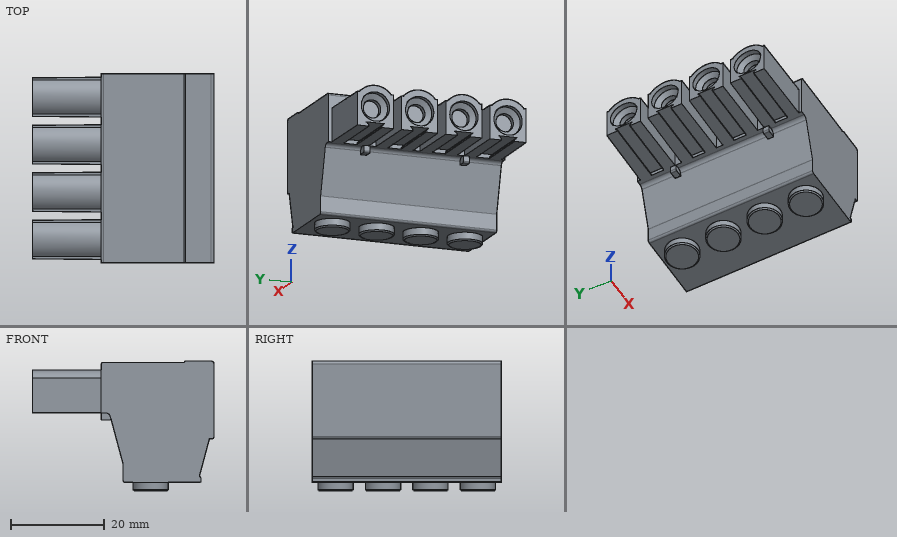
import cadquery as cq
import math

POLE_COUNT = 4
POLE_PITCH = 10.16
END_WIDTH = 10.0
BODY_WIDTH = (POLE_COUNT - 1) * POLE_PITCH + END_WIDTH
POLE_CENTRES = [(i - (POLE_COUNT - 1) / 2) * POLE_PITCH for i in range(POLE_COUNT)]

BODY_LENGTH = 24.2
TOP_Z = 25.7
RAISED_TOP_Z = 26.0
RAISED_START_X = 18.05
RAISED_RAMP = 0.3
OVERHANG_Z = 14.85
BASE_FRONT_X = 4.67
BASE_BACK_X = 21.4
FRONT_SLOPE_START_Z = 4.0
SLOPE_ANGLE = 15.0
SLOPE_RUN = math.tan(math.radians(SLOPE_ANGLE))
FRONT_EDGE_RADIUS = 0.5
OVERHANG_RADIUS = 1.0
BACK_TOP_RADIUS = 0.7
BACK_LIP_Z = 9.3
BACK_LIP_RADIUS = 0.55
BACK_SLOPE_TOP_X = 23.2
BEAD_TOP_Z = 0.95
BEAD_CORNER = 0.2
GROOVE_Z = 1.3

TUBE_LENGTH = 14.7
TUBE_TIP_WIDTH = 8.3
TUBE_DRAFT_ANGLE = 0.5
TUBE_ROOT_WIDTH = TUBE_TIP_WIDTH + 2 * TUBE_LENGTH * math.tan(math.radians(TUBE_DRAFT_ANGLE))
SHOULDER_Z = 22.35
CROWN_RADIUS = 4.72
BORE_Z = 19.35
BORE_MOUTH_DIAMETER = 6.5
BORE_DIAMETER = 4.0
MOUTH_DEPTH = 1.2
FUNNEL_DEPTH = 0.8
BORE_DEPTH = 3.2

NOTCH_TOP_WIDTH = 4.1
NOTCH_NECK_WIDTH = 3.0
NOTCH_TOP_Z = 15.75
NOTCH_NECK_Z = 15.15

TAB_OFFSET = 11.43
TAB_WIDTH = 1.4
TAB_LENGTH = 2.1
TAB_BOTTOM_Z = 13.3
TAB_RADIUS = 0.35

SCREW_X = 10.6
SCREW_DIAMETER = 7.6
SCREW_HEIGHT = 1.8
SCREW_CHAMFER = 0.3


def make_body():
    overhang_x = BASE_FRONT_X - (OVERHANG_Z - FRONT_SLOPE_START_Z) * SLOPE_RUN
    groove_x = BACK_SLOPE_TOP_X - (BACK_LIP_Z - GROOVE_Z) * SLOPE_RUN
    body = (
        cq.Workplane("XZ")
        .moveTo(0, OVERHANG_Z)
        .lineTo(0, TOP_Z)
        .lineTo(RAISED_START_X - RAISED_RAMP, TOP_Z)
        .lineTo(RAISED_START_X, RAISED_TOP_Z)
        .lineTo(BODY_LENGTH, RAISED_TOP_Z)
        .lineTo(BODY_LENGTH, BACK_LIP_Z)
        .lineTo(BACK_SLOPE_TOP_X, BACK_LIP_Z)
        .lineTo(groove_x, GROOVE_Z)
        .lineTo(BASE_BACK_X, BEAD_TOP_Z)
        .lineTo(BASE_BACK_X, BEAD_CORNER)
        .lineTo(BASE_BACK_X - BEAD_CORNER, 0)
        .lineTo(BASE_FRONT_X, 0)
        .lineTo(BASE_FRONT_X, FRONT_SLOPE_START_Z)
        .lineTo(overhang_x, OVERHANG_Z)
        .close()
        .extrude(BODY_WIDTH / 2, both=True)
    )
    rounded_edges = [
        (0, TOP_Z, FRONT_EDGE_RADIUS),
        (BASE_FRONT_X, 0, FRONT_EDGE_RADIUS),
        (overhang_x, OVERHANG_Z, OVERHANG_RADIUS),
        (BODY_LENGTH, RAISED_TOP_Z, BACK_TOP_RADIUS),
        (BODY_LENGTH, BACK_LIP_Z, BACK_LIP_RADIUS),
    ]
    for x, z, radius in rounded_edges:
        body = body.edges(cq.selectors.NearestToPointSelector((x, 0, z))).fillet(radius)
    return body


def make_tube(y):
    """Arch-topped tube whose side walls widen towards the body."""
    half_tip = TUBE_TIP_WIDTH / 2
    half_root = TUBE_ROOT_WIDTH / 2
    half_chord = math.sqrt(CROWN_RADIUS**2 - (SHOULDER_Z - BORE_Z) ** 2)
    crown = (
        cq.Workplane("YZ", origin=(-TUBE_LENGTH, y, 0))
        .moveTo(-half_chord, OVERHANG_Z)
        .lineTo(-half_chord, SHOULDER_Z)
        .threePointArc((0, BORE_Z + CROWN_RADIUS), (half_chord, SHOULDER_Z))
        .lineTo(half_chord, OVERHANG_Z)
        .close()
        .extrude(TUBE_LENGTH)
    )
    walls = (
        cq.Workplane("XY", origin=(0, y, OVERHANG_Z))
        .polyline([
            (-TUBE_LENGTH, -half_tip),
            (0, -half_root),
            (0, half_root),
            (-TUBE_LENGTH, half_tip),
        ])
        .close()
        .extrude(SHOULDER_Z - OVERHANG_Z)
    )
    return walls.union(crown)


def make_bore(y):
    """Blind wire entry: a round mouth, a conical funnel and a narrower bore."""
    mouth_radius = BORE_MOUTH_DIAMETER / 2
    bore_radius = BORE_DIAMETER / 2
    funnel_end = MOUTH_DEPTH + FUNNEL_DEPTH
    return (
        cq.Workplane("XY", origin=(-TUBE_LENGTH, y, BORE_Z))
        .polyline([
            (0, 0),
            (0, mouth_radius),
            (MOUTH_DEPTH, mouth_radius),
            (funnel_end, bore_radius),
            (BORE_DEPTH, bore_radius),
            (BORE_DEPTH, 0),
        ])
        .close()
        .revolve(360, (0, 0, 0), (1, 0, 0))
    )


def make_notch(y):
    half_top = NOTCH_TOP_WIDTH / 2
    half_neck = NOTCH_NECK_WIDTH / 2
    return (
        cq.Workplane("YZ", origin=(-TUBE_LENGTH, y, 0))
        .polyline([
            (-half_neck, OVERHANG_Z),
            (-half_neck, NOTCH_NECK_Z),
            (-half_top, NOTCH_TOP_Z),
            (half_top, NOTCH_TOP_Z),
            (half_neck, NOTCH_NECK_Z),
            (half_neck, OVERHANG_Z),
        ])
        .close()
        .extrude(TUBE_LENGTH)
    )


def make_tab(y):
    return (
        cq.Workplane("XY", origin=(TAB_LENGTH / 2, y, TAB_BOTTOM_Z))
        .rect(TAB_LENGTH, TAB_WIDTH)
        .extrude(OVERHANG_Z - TAB_BOTTOM_Z)
        .edges("<X and <Z")
        .fillet(TAB_RADIUS)
    )


def make_screw_head(y):
    return (
        cq.Workplane("XY", origin=(SCREW_X, y, 0))
        .circle(SCREW_DIAMETER / 2)
        .extrude(-SCREW_HEIGHT)
        .faces("<Z")
        .chamfer(SCREW_CHAMFER)
    )


result = make_body()
for pole_y in POLE_CENTRES:
    result = result.union(make_tube(pole_y)).union(make_screw_head(pole_y))
    result = result.cut(make_bore(pole_y)).cut(make_notch(pole_y))
for tab_y in (-TAB_OFFSET, TAB_OFFSET):
    result = result.union(make_tab(tab_y))